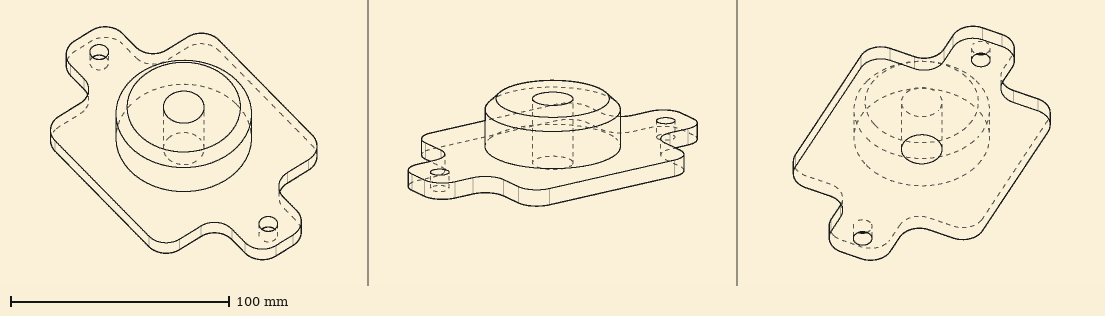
import cadquery as cq

overall_length = 150.0
plate_length = 90.0
plate_width = 95.0
plate_thickness = 8.0
ear_width = 30.0
corner_radius = 10.0

mount_hole_diameter = 8.5
mount_hole_spacing = 126.0

overall_height = 31.0
boss_diameter = 62.1
boss_chamfer = 5.1
bore_diameter = 18.6


def make_plate():
    """Rectangular plate with two ears, every vertical edge rounded."""
    body = cq.Workplane("XY").rect(plate_length, plate_width).extrude(plate_thickness)
    ears = cq.Workplane("XY").rect(overall_length, ear_width).extrude(plate_thickness)
    return body.union(ears).edges("|Z").fillet(corner_radius)


def make_boss():
    """Round boss standing on the plate, with a chamfered top rim."""
    boss = cq.Workplane("XY").circle(boss_diameter / 2).extrude(overall_height)
    return boss.faces(">Z").edges().chamfer(boss_chamfer)


def make_holes():
    """Through bore on the centre axis and one mounting hole in each ear."""
    bore = cq.Workplane("XY").circle(bore_diameter / 2).extrude(overall_height)
    mount_holes = (
        cq.Workplane("XY")
        .pushPoints([(-mount_hole_spacing / 2, 0), (mount_hole_spacing / 2, 0)])
        .circle(mount_hole_diameter / 2)
        .extrude(plate_thickness)
    )
    return bore.union(mount_holes)


result = make_plate().union(make_boss()).cut(make_holes())